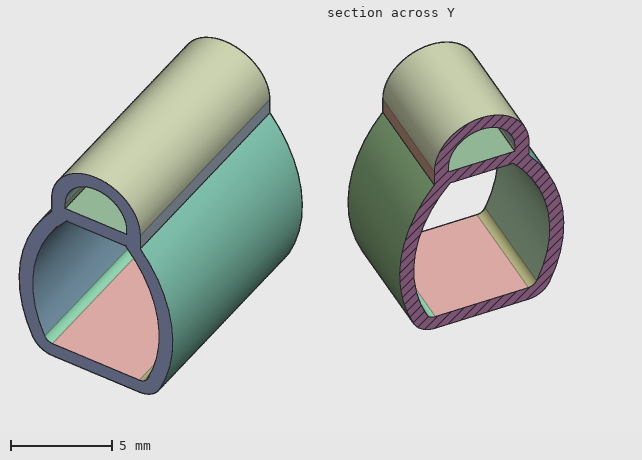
import cadquery as cq
import math

LENGTH = 12.0
HEIGHT = 13.0
WALL = 0.8
HALF_WIDTH = 4.5
SIDE_RADIUS = 8.25
WIDEST_HEIGHT = 4.25
CORNER_RADIUS = 1.3
CAP_RADIUS = 2.6
CAP_FLOOR_HEIGHT = 10.1

CAP_CENTER_HEIGHT = HEIGHT - CAP_RADIUS
WEB_BOTTOM_HEIGHT = CAP_FLOOR_HEIGHT - WALL
SIDE_CENTER_OFFSET = SIDE_RADIUS - HALF_WIDTH

SHOULDER_HEIGHT = WIDEST_HEIGHT + math.sqrt(
    SIDE_RADIUS**2 - (CAP_RADIUS + SIDE_CENTER_OFFSET) ** 2
)


def side_x(radius, z):
    """Half-width of a side arc of the given radius at height z."""
    return math.sqrt(radius**2 - (z - WIDEST_HEIGHT) ** 2) - SIDE_CENTER_OFFSET


def extrude_profile(profile):
    """Extrude an XZ profile over the part length, centered on Y."""
    return profile.close().extrude(LENGTH / 2, both=True)


def barrel(radius, bottom, top, corner_radius):
    """Bulging body with flat bottom and top and rounded bottom corners."""
    bottom_x = side_x(radius, bottom)
    top_x = side_x(radius, top)
    widest_x = radius - SIDE_CENTER_OFFSET
    profile = (
        cq.Workplane("XZ")
        .moveTo(-bottom_x, bottom)
        .lineTo(bottom_x, bottom)
        .threePointArc((widest_x, WIDEST_HEIGHT), (top_x, top))
        .lineTo(-top_x, top)
        .threePointArc((-widest_x, WIDEST_HEIGHT), (-bottom_x, bottom))
    )
    return extrude_profile(profile).edges("|Y and <Z").fillet(corner_radius)


def arch(radius, bottom):
    """Half-round top on straight vertical sides standing on a flat bottom."""
    profile = (
        cq.Workplane("XZ")
        .moveTo(-radius, bottom)
        .lineTo(radius, bottom)
        .lineTo(radius, CAP_CENTER_HEIGHT)
        .threePointArc((0, CAP_CENTER_HEIGHT + radius), (-radius, CAP_CENTER_HEIGHT))
    )
    return extrude_profile(profile)


body = barrel(SIDE_RADIUS, 0, SHOULDER_HEIGHT, CORNER_RADIUS)
envelope = body.union(arch(CAP_RADIUS, WEB_BOTTOM_HEIGHT))

main_channel = barrel(SIDE_RADIUS - WALL, WALL, WEB_BOTTOM_HEIGHT, CORNER_RADIUS - WALL)
cap_channel = arch(CAP_RADIUS - WALL, CAP_FLOOR_HEIGHT)

result = envelope.cut(main_channel).cut(cap_channel)